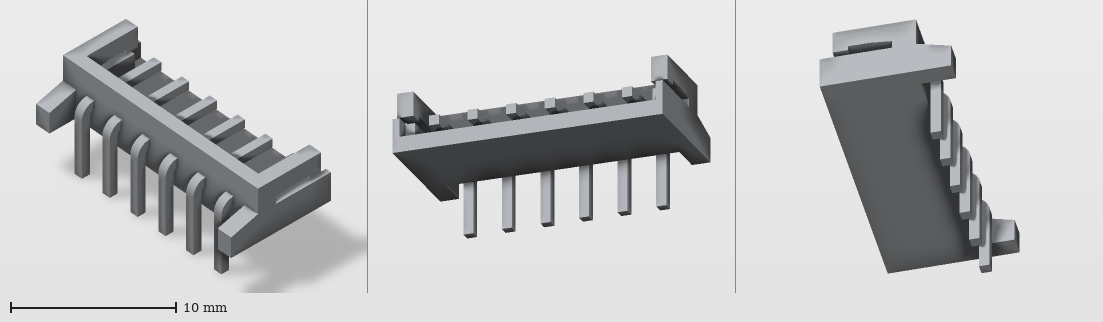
import cadquery as cq

width = 17.5
height = 4.2
depth = 6.0
side_height = 2.22
side_thickness = 0.45
floor_height = 1.0

wall_top_thickness = 1.0
slope_start = 3.47
wall_base_thickness = 1.5

ledge_end = 4.95

arm_width = 1.05
arm_end = 5.2
hook_inner = 4.25
hook_height = 2.6
arm_underside = 2.9
arm_taper_start = 2.9
arm_root_height = 2.75

lug_width = 1.2
lug_length = 2.2
lug_end_height = 1.6

pin_count = 6
pin_pitch = 2.5
pin_size = 0.65
pin_top = 2.33
pin_tip = 5.5
pin_drop = 3.2
bend_inner_radius = 0.37
bend_outer_radius = bend_inner_radius + pin_size


def extrude_along_x(outline, x_start, length):
    """Extrude a closed (Y, Z) outline along +X from x_start."""
    return cq.Workplane("YZ", origin=(x_start, 0, 0)).polyline(outline).close().extrude(length)


def make_base():
    """Floor with a low wall along each short side."""
    base = cq.Workplane("XY").box(width, depth, side_height, centered=(True, False, False))
    recess = (
        cq.Workplane("XY", origin=(0, 0, floor_height))
        .box(width - 2 * side_thickness, depth, side_height, centered=(True, False, False))
    )
    return base.cut(recess)


def make_front_wall():
    """Full-width wall whose inner face slopes near the top."""
    outline = [
        (0, 0),
        (wall_base_thickness, 0),
        (wall_base_thickness, slope_start),
        (wall_top_thickness, height),
        (0, height),
    ]
    return extrude_along_x(outline, -width / 2, width)


def make_arm(x_start):
    """Hooked latch arm, joined to the side wall at its root."""
    outline = [
        (0, 0),
        (wall_base_thickness, 0),
        (wall_base_thickness, arm_root_height),
        (arm_taper_start, arm_underside),
        (hook_inner, arm_underside),
        (hook_inner, hook_height),
        (arm_end, hook_height),
        (arm_end, height),
        (0, height),
    ]
    return extrude_along_x(outline, x_start, arm_width)


def make_ledge(x_start):
    """Block under a latch arm, level with the top of the side wall."""
    return (
        cq.Workplane("XY", origin=(x_start, 0, 0))
        .box(arm_width, ledge_end, side_height, centered=False)
    )


def make_lug(x_start):
    """Lug with a top that slopes down away from the wall."""
    outline = [(0, 0), (0, side_height), (-lug_length, lug_end_height), (-lug_length, 0)]
    return extrude_along_x(outline, x_start, lug_width)


def make_pin(x_center):
    """Right-angle pin running through the wall, then down in front of it."""
    pin_underside = pin_top - pin_size
    bend_center_height = pin_top - bend_outer_radius
    return (
        cq.Workplane("YZ", origin=(x_center, 0, 0))
        .moveTo(pin_tip, pin_top)
        .lineTo(0, pin_top)
        .radiusArc((-bend_outer_radius, bend_center_height), -bend_outer_radius)
        .lineTo(-bend_outer_radius, -pin_drop)
        .lineTo(-bend_inner_radius, -pin_drop)
        .lineTo(-bend_inner_radius, bend_center_height)
        .radiusArc((0, pin_underside), bend_inner_radius)
        .lineTo(pin_tip, pin_underside)
        .close()
        .extrude(pin_size / 2, both=True)
    )


result = make_base().union(make_front_wall())

for x_start in (-width / 2, width / 2 - arm_width):
    result = result.union(make_arm(x_start)).union(make_ledge(x_start))

for x_start in (-width / 2, width / 2 - lug_width):
    result = result.union(make_lug(x_start))

for index in range(pin_count):
    result = result.union(make_pin((index - (pin_count - 1) / 2) * pin_pitch))